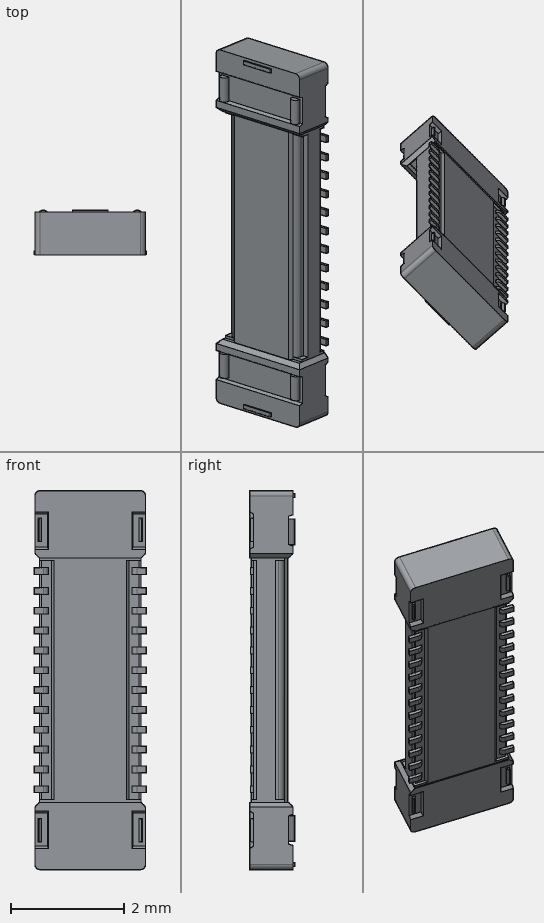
import cadquery as cq

length = 6.7
width = 1.98
thickness = 0.8
half_length = length / 2
front = -thickness / 2
back = thickness / 2

block_half_width = 0.98
block_back = 0.37
block_inner_z = 2.16
outer_corner_radius = 0.095
inner_chamfer = 0.08

body_front = -0.375
body_back = 0.275
rim_half_width = 0.9
rim_back = 0.215
rim_thickness = 0.05
body_half_width = 0.86
flank_front = -0.275
flank_back = 0.055
shoulder_half_width = 0.79
shoulder_radius = 0.1
ledge_front = -0.33
ledge_half_width = 0.685

leads_per_side = 12
lead_row_length = 3.85
lead_pitch = lead_row_length / (leads_per_side - 1)
lead_width = 0.12
lead_front = -0.39
lead_bend_outer_x = 0.825
lead_root_x = 0.74

pocket_inner_x = 0.74
pocket_low_z = 2.31
pocket_high_z = 2.975
pocket_depth = 0.07
pocket_end_slope = 0.04
pocket_side_slope = 0.02

ridge_outer_x = 0.925
ridge_inner_x = 0.865
ridge_low_z = 2.445
ridge_high_z = 2.86
ridge_tip_width = 0.02
ridge_tip_y = -0.39
ridge_end_chamfer = 0.02

notch_low_z = 2.37
notch_high_z = 2.92
notch_floor = 0.29
notch_end_slope = 0.03

rib_x = 0.83
rib_radius = 0.09
rib_low_z = 2.39
rib_high_z = 2.85
pad_half_width = 0.315
pad_low_z = 3.22
pad_high_z = 3.295


def box(x_range, y_range, z_range):
    """Box spanning three (low, high) ranges."""
    lows, highs = zip(x_range, y_range, z_range)
    sizes = [high - low for low, high in zip(lows, highs)]
    return cq.Workplane("XY").box(*sizes, centered=False).translate(lows)


def both_sides(shape):
    """Shape together with its mirror image in X."""
    return shape.union(shape.mirror("YZ"))


def make_body():
    """Stepped bar with a short full-width rim against each end block."""
    slope = ledge_front - body_front
    back_slope = body_back - rim_back
    shoulder_inner_x = shoulder_half_width - shoulder_radius
    half_outline = (
        cq.Workplane("XY")
        .moveTo(0, body_front)
        .lineTo(ledge_half_width - slope, body_front)
        .lineTo(ledge_half_width, ledge_front)
        .lineTo(body_half_width, ledge_front)
        .lineTo(body_half_width, flank_front)
        .lineTo(rim_half_width, flank_front)
        .lineTo(rim_half_width, flank_back)
        .lineTo(shoulder_half_width, flank_back)
        .lineTo(shoulder_half_width, rim_back - shoulder_radius)
        .radiusArc((shoulder_inner_x, rim_back), -shoulder_radius)
        .lineTo(shoulder_inner_x - back_slope, body_back)
        .lineTo(0, body_back)
        .close()
    )
    bar = both_sides(half_outline.extrude(block_inner_z, both=True))
    for low_z in (block_inner_z - rim_thickness, -block_inner_z):
        rim_z = (low_z, low_z + rim_thickness)
        bar = bar.union(box((-rim_half_width, rim_half_width), (body_front, rim_back), rim_z))
    return bar


def make_pocket():
    """Tapered recess in the front face, open through the side of the block."""
    outer_x = block_half_width
    mouth_width = outer_x - pocket_inner_x
    mouth_height = pocket_high_z - pocket_low_z
    floor_width = mouth_width - pocket_side_slope
    floor_height = mouth_height - 2 * pocket_end_slope
    mid_z = (pocket_low_z + pocket_high_z) / 2
    return (
        cq.Workplane("XZ", origin=(outer_x, front, mid_z))
        .rect(2 * mouth_width, mouth_height)
        .workplane(offset=-pocket_depth)
        .rect(2 * floor_width, floor_height)
        .loft()
    )


def make_ridge():
    """Ridge on the pocket floor, upright outside and sloped at 45 degrees inside."""
    floor_y = front + pocket_depth
    slope = ridge_outer_x - ridge_tip_width - ridge_inner_x
    outline = [
        (ridge_outer_x, floor_y),
        (ridge_outer_x, ridge_tip_y),
        (ridge_outer_x - ridge_tip_width, ridge_tip_y),
        (ridge_inner_x, ridge_tip_y + slope),
        (ridge_inner_x, floor_y),
    ]
    ridge = cq.Workplane("XY", origin=(0, 0, ridge_low_z)).polyline(outline).close()
    ridge = ridge.extrude(ridge_high_z - ridge_low_z)
    return ridge.faces("<Y").edges("|X").chamfer(ridge_end_chamfer)


def make_notch():
    """Trapezoidal channel running right across the back face."""
    outline = [
        (block_back, notch_low_z),
        (notch_floor, notch_low_z + notch_end_slope),
        (notch_floor, notch_high_z - notch_end_slope),
        (block_back, notch_high_z),
    ]
    return cq.Workplane("YZ").polyline(outline).close().extrude(block_half_width, both=True)


def make_rib():
    """Upright rib with a half-round back, standing in the notch."""
    centre_y = back - rib_radius
    return (
        cq.Workplane("XY", origin=(0, 0, rib_low_z))
        .moveTo(rib_x - rib_radius, notch_floor)
        .lineTo(rib_x - rib_radius, centre_y)
        .threePointArc((rib_x, back), (rib_x + rib_radius, centre_y))
        .lineTo(rib_x + rib_radius, notch_floor)
        .close()
        .extrude(rib_high_z - rib_low_z)
    )


def make_end_block():
    """Upper end block with all of its pockets, ribs and pads."""
    block = box((-block_half_width, block_half_width), (front, block_back), (block_inner_z, half_length))
    block = block.edges("|Y and >Z").fillet(outer_corner_radius)
    block = block.edges("(|Y and <Z) or (|X and <Z and >Y)").chamfer(inner_chamfer)
    block = block.cut(both_sides(make_pocket())).cut(make_notch())
    block = block.union(both_sides(make_ridge())).union(both_sides(make_rib()))
    pad = box((-pad_half_width, pad_half_width), (block_back, back), (pad_low_z, pad_high_z))
    return block.union(pad)


def make_lead():
    """Flat foot with a rounded bend running back into the ledge, centred on Z = 0."""
    tip_x = width / 2
    return (
        cq.Workplane("XY", origin=(0, 0, -lead_width / 2))
        .moveTo(tip_x, ledge_front)
        .lineTo(tip_x, lead_front)
        .lineTo(lead_bend_outer_x, lead_front)
        .tangentArcPoint((lead_root_x, ledge_front), relative=False)
        .close()
        .extrude(lead_width)
    )


end_block = make_end_block()
result = make_body().union(end_block).union(end_block.mirror("XY"))

lead_pair = both_sides(make_lead())
for index in range(leads_per_side):
    result = result.union(lead_pair.translate((0, 0, index * lead_pitch - lead_row_length / 2)))